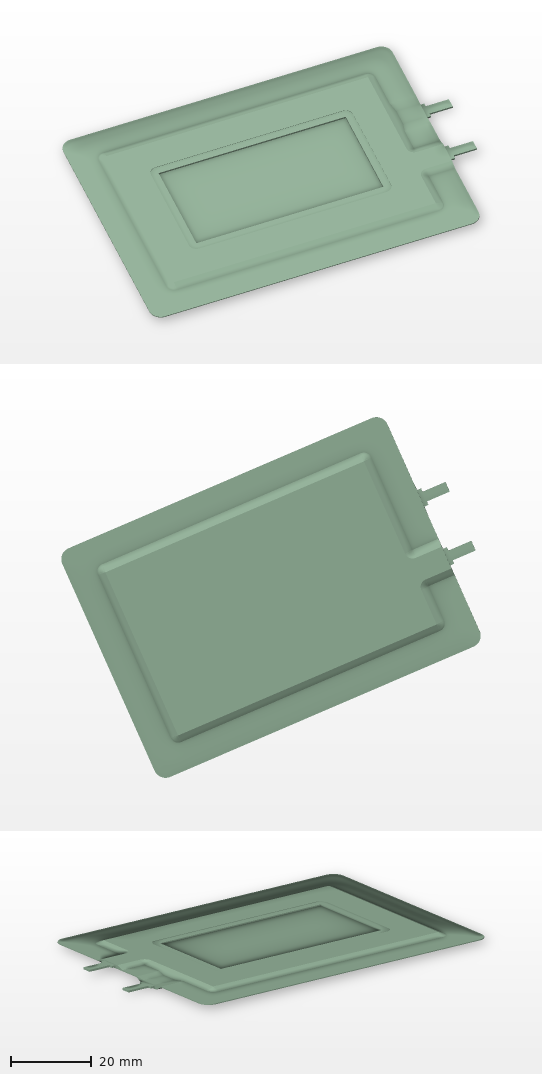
import cadquery as cq

RIM_WIDTH = 63.0
RIM_LENGTH = 88.0
RIM_THICKNESS = 0.25
RIM_CORNER_RADIUS = 3.0
RIM_TOP = RIM_THICKNESS / 2
RIM_END = RIM_LENGTH / 2

TOTAL_HEIGHT = 2.08
UPPER_HEIGHT = 0.76
LOWER_HEIGHT = TOTAL_HEIGHT - RIM_THICKNESS - UPPER_HEIGHT
UPPER_CREST = RIM_TOP + UPPER_HEIGHT
RIM_MARGIN = 7.0
SLOPE_RUN = 2.0
FOOT_WIDTH = RIM_WIDTH - 2 * RIM_MARGIN
FOOT_LENGTH = RIM_LENGTH - 2 * RIM_MARGIN
FOOT_END = FOOT_LENGTH / 2
CREST_WIDTH = FOOT_WIDTH - 2 * SLOPE_RUN
CREST_LENGTH = FOOT_LENGTH - 2 * SLOPE_RUN
CREST_END = CREST_LENGTH / 2

TERMINAL_X = 8.0
TAB_WIDTH = 2.6
TAB_LENGTH = 7.3
TAB_THICKNESS = 0.5
SHOULDER_WIDTH = 4.5
SHOULDER_LENGTH = 1.1
UPPER_TAB_OFFSET = 0.17
LOWER_TAB_OFFSET = 0.43

CHANNEL_CREST_WIDTH = 6.0
CHANNEL_FOOT_WIDTH = CHANNEL_CREST_WIDTH + 2 * SLOPE_RUN

DIP_WIDTH = 10.0
DIP_FLOOR_WIDTH = SHOULDER_WIDTH
DIP_DEPTH = 0.25

WINDOW_WIDTH = 25.0
WINDOW_LENGTH = 50.0
WINDOW_DEPTH = 0.6
STEP_BORDER = 2.0
STEP_DEPTH = 0.12


def tapered_bar(foot_width, crest_width, length, height):
    """Bar along Y with a trapezoid section, standing on the rim's upper face."""
    section = [
        (-foot_width / 2, RIM_TOP),
        (foot_width / 2, RIM_TOP),
        (crest_width / 2, RIM_TOP + height),
        (-crest_width / 2, RIM_TOP + height),
    ]
    return cq.Workplane("XZ").polyline(section).close().extrude(length / 2, both=True)


def bulge(height):
    """Sloped body block with cone-shaped corners."""
    along_y = tapered_bar(FOOT_WIDTH, CREST_WIDTH, CREST_LENGTH, height)
    along_x = tapered_bar(FOOT_LENGTH, CREST_LENGTH, CREST_WIDTH, height)
    body = along_y.union(along_x.rotate((0, 0, 0), (0, 0, 1), 90))
    cone = cq.Solid.makeCone(SLOPE_RUN, 0, height)
    for side in (-1, 1):
        for end in (-1, 1):
            corner = cq.Vector(side * CREST_WIDTH / 2, end * CREST_END, RIM_TOP)
            body = body.union(cone.translate(corner))
    return body


def channel(height):
    """Channel from the body to the rim edge, blended into the body by conical hollows."""
    length = RIM_END - CREST_END
    bar = tapered_bar(CHANNEL_FOOT_WIDTH, CHANNEL_CREST_WIDTH, length, height)
    bar = bar.translate((TERMINAL_X, CREST_END + length / 2, 0))
    hollow = cq.Solid.makeCone(0, SLOPE_RUN, height)
    for side in (-1, 1):
        foot_corner = cq.Vector(TERMINAL_X + side * CHANNEL_FOOT_WIDTH / 2, FOOT_END, RIM_TOP)
        fill = cq.Workplane("XY").box(SLOPE_RUN, SLOPE_RUN, height, centered=(True, True, False))
        fill = fill.translate(foot_corner + cq.Vector(-side * SLOPE_RUN / 2, -SLOPE_RUN / 2, 0))
        bar = bar.union(fill.cut(cq.Workplane(hollow.translate(foot_corner))))
    return bar


def strip(width, reach):
    """Flat strip from inside the channel to the given reach beyond the rim edge."""
    length = RIM_END + reach - FOOT_END
    return cq.Workplane("XY").box(width, length, TAB_THICKNESS, centered=(True, False, False))


def terminal(offset):
    """Flat tab with a wider shoulder at the rim edge, the given offset above the rim's mid-plane."""
    plate = strip(TAB_WIDTH, TAB_LENGTH).union(strip(SHOULDER_WIDTH, SHOULDER_LENGTH))
    return plate.translate((TERMINAL_X, FOOT_END, offset))


def half(height, tab_offset):
    """Everything standing on one side of the rim."""
    return bulge(height).union(channel(height)).union(terminal(tab_offset))


def dip():
    """Cutter for the rim dip; its inner end continues the slope of the body."""
    floor = RIM_TOP - DIP_DEPTH
    section = [
        (-DIP_WIDTH / 2, RIM_TOP),
        (DIP_WIDTH / 2, RIM_TOP),
        (DIP_FLOOR_WIDTH / 2, floor),
        (-DIP_FLOOR_WIDTH / 2, floor),
    ]
    trough = cq.Workplane("XZ", origin=(-TERMINAL_X, RIM_END, 0)).polyline(section).close()
    trough = trough.extrude(RIM_END - FOOT_END)
    slope_reach = DIP_DEPTH * SLOPE_RUN / UPPER_HEIGHT
    wedge = [(FOOT_END, RIM_TOP), (FOOT_END + slope_reach, floor), (FOOT_END, floor)]
    slope = cq.Workplane("YZ", origin=(-TERMINAL_X, 0, 0)).polyline(wedge).close()
    return trough.cut(slope.extrude(DIP_WIDTH / 2, both=True))


def window():
    """Cutter for the window: the shallow step together with the deeper pocket."""
    top = cq.Workplane("XY").workplane(offset=UPPER_CREST)
    step = top.rect(WINDOW_WIDTH + 2 * STEP_BORDER, WINDOW_LENGTH + 2 * STEP_BORDER).extrude(-STEP_DEPTH)
    step = step.edges("|Z").fillet(STEP_BORDER)
    pocket = top.rect(WINDOW_WIDTH, WINDOW_LENGTH).extrude(-WINDOW_DEPTH)
    return step.union(pocket)


rim = cq.Workplane("XY").box(RIM_WIDTH, RIM_LENGTH, RIM_THICKNESS)
rim = rim.edges("|Z").fillet(RIM_CORNER_RADIUS)
upper_half = half(UPPER_HEIGHT, UPPER_TAB_OFFSET)
lower_half = half(LOWER_HEIGHT, LOWER_TAB_OFFSET).rotate((0, 0, 0), (0, 1, 0), 180)
result = rim.union(upper_half).union(lower_half).cut(dip()).cut(window())